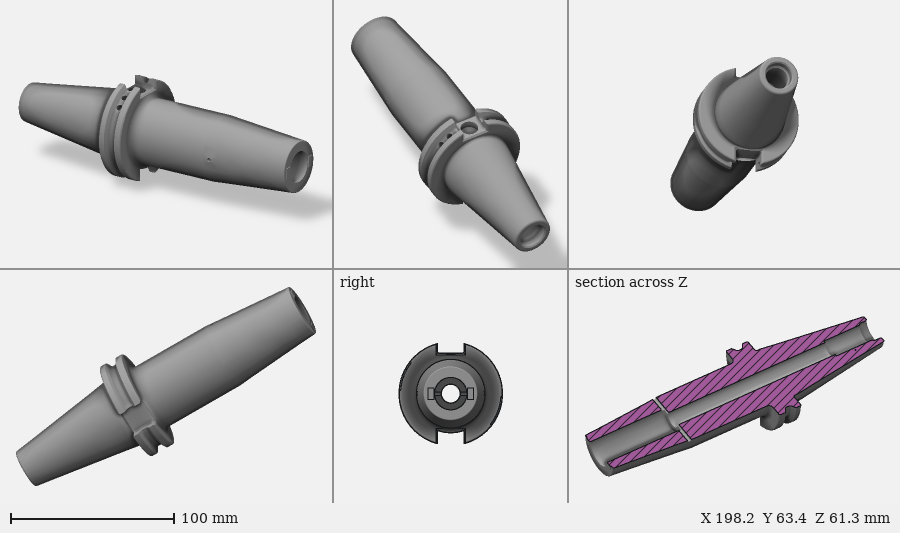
import cadquery as cq
import math


overall_length = 198.2
pad_height = 0.5
nose_face_x = overall_length - pad_height
gauge_x = 68.4
flange_start_x = 71.5
flange_end_x = 87.5
nose_start_x = 141.2

gauge_radius = 22.2
taper_rate = 7 / 48
taper_tip_radius = gauge_radius - gauge_x * taper_rate
flange_radius = 31.7
body_radius = 21.0
nose_radius = 16.5

tip_fillet = 1.4
nose_fillet = 0.5
flange_fillet = 1.0
neck_root_fillet = 0.5
body_root_fillet = 3.0

groove_center_x = 79.3
groove_floor_radius = 28.2
groove_floor_width = 3.4
groove_flank_angle = 30
groove_floor_fillet = 1.4

slot_width = 16.3
top_slot_height = 24.8
bottom_slot_height = 22.5
slot_corner_fillet = 1.2
slot_chamfer = 1.0

chip_diameter = 11.0
chip_depth = 4.5

groove_hole_diameter = 3.8
groove_hole_depth = 4.0
groove_hole_angles = (30, 45)

pilot_chamfer = 0.8
pilot_radius = 8.3
pilot_depth = 5.0
thread_radius = 7.1
thread_depth = 31.7
channel_radius = 5.7
tool_bore_radius = 10.0
tool_bore_depth = 53.0
vent_diameter = 2.4
vent_x = 145.3

pad_inner_y = 10.1
pad_radial_size = 4.0
pad_width = 7.0

cutter_overrun = 2.0


def revolved(points):
    """Solid of revolution about the X axis from (x, radius) points."""
    return cq.Workplane("XZ").polyline(points).close().revolve(360, (0, 0, 0), (1, 0, 0))


def make_shank():
    """Taper, neck, body and conical nose."""
    profile = (
        cq.Workplane("XZ")
        .moveTo(0, 0)
        .lineTo(0, taper_tip_radius)
        .lineTo(gauge_x, gauge_radius)
        .lineTo(flange_start_x - neck_root_fillet, gauge_radius)
        .radiusArc((flange_start_x, gauge_radius + neck_root_fillet), -neck_root_fillet)
        .lineTo(flange_end_x, body_radius + body_root_fillet)
        .radiusArc((flange_end_x + body_root_fillet, body_radius), -body_root_fillet)
        .lineTo(nose_start_x, body_radius)
        .lineTo(nose_face_x, nose_radius)
        .lineTo(nose_face_x, 0)
        .close()
    )
    shank = profile.revolve(360, (0, 0, 0), (1, 0, 0))
    shank = shank.faces("<X").edges().fillet(tip_fillet)
    return shank.faces(">X").edges().fillet(nose_fillet)


def make_flange():
    """Rounded disc with a V-groove around its rim."""
    flange = revolved([
        (flange_start_x, 0),
        (flange_start_x, flange_radius),
        (flange_end_x, flange_radius),
        (flange_end_x, 0),
    ])
    flange = flange.edges("%CIRCLE").fillet(flange_fillet)
    groove_depth = flange_radius - groove_floor_radius
    half_floor = groove_floor_width / 2
    half_mouth = half_floor + groove_depth * math.tan(math.radians(groove_flank_angle))
    cutter_radius = flange_radius + cutter_overrun
    groove = revolved([
        (groove_center_x - half_floor, groove_floor_radius),
        (groove_center_x + half_floor, groove_floor_radius),
        (groove_center_x + half_mouth, flange_radius),
        (groove_center_x + half_mouth, cutter_radius),
        (groove_center_x - half_mouth, cutter_radius),
        (groove_center_x - half_mouth, flange_radius),
    ])
    floor_edges = cq.selectors.RadiusNthSelector(0)
    return flange.cut(groove.edges(floor_edges).fillet(groove_floor_fillet))


def slot_cutter(floor_height):
    """Slot through the flange above floor_height, with rounded floor corners and chamfered ends."""
    top_height = flange_radius + cutter_overrun
    mid_height = (floor_height + top_height) / 2
    slot_depth = top_height - floor_height
    slot = (
        cq.Workplane("YZ", origin=(flange_start_x, 0, mid_height))
        .rect(slot_width, slot_depth)
        .extrude(flange_end_x - flange_start_x)
        .edges("|X and <Z")
        .fillet(slot_corner_fillet)
    )
    for face_x, inward in ((flange_start_x, slot_chamfer), (flange_end_x, -slot_chamfer)):
        flare = (
            cq.Workplane("YZ", origin=(face_x, 0, mid_height))
            .rect(slot_width + 2 * slot_chamfer, slot_depth + 2 * slot_chamfer)
            .extrude(inward, taper=45)
        )
        slot = slot.union(flare)
    return slot


def make_bore():
    """Through bore: pilot, thread bore, channel and tool bore."""
    tool_bore_x = nose_face_x - tool_bore_depth
    return revolved([
        (0, 0),
        (0, pilot_radius + pilot_chamfer),
        (pilot_chamfer, pilot_radius),
        (pilot_depth, pilot_radius),
        (pilot_depth + pilot_radius - thread_radius, thread_radius),
        (thread_depth, thread_radius),
        (thread_depth, channel_radius),
        (tool_bore_x, channel_radius),
        (tool_bore_x, tool_bore_radius),
        (nose_face_x, tool_bore_radius),
        (nose_face_x, 0),
    ])


def make_chip_pocket():
    """Blind round pocket in the floor of the top slot."""
    return (
        cq.Workplane("XY", origin=(groove_center_x, 0, top_slot_height))
        .circle(chip_diameter / 2)
        .extrude(-chip_depth)
    )


def groove_hole(angle):
    """Radial blind hole in the groove floor, at an angle in degrees from the top."""
    hole = (
        cq.Workplane("XY", origin=(groove_center_x, 0, groove_floor_radius - groove_hole_depth))
        .circle(groove_hole_diameter / 2)
        .extrude(groove_hole_depth + cutter_overrun)
    )
    return hole.rotate((0, 0, 0), (1, 0, 0), angle)


def make_vent():
    """Cross hole through both walls at the inner end of the tool bore."""
    return (
        cq.Workplane("XZ", origin=(vent_x, 0, 0))
        .circle(vent_diameter / 2)
        .extrude(body_radius + cutter_overrun, both=True)
    )


def nose_pad(side):
    """Raised pad on the nose face, on the +Y (side = 1) or -Y (side = -1) side of the bore."""
    center_y = side * (pad_inner_y + pad_radial_size / 2)
    return (
        cq.Workplane("YZ", origin=(nose_face_x, center_y, 0))
        .rect(pad_radial_size, pad_width)
        .extrude(pad_height)
    )


holder = make_shank().union(make_flange())
holder = holder.cut(slot_cutter(top_slot_height))
holder = holder.cut(slot_cutter(bottom_slot_height).rotate((0, 0, 0), (1, 0, 0), 180))
holder = holder.cut(make_chip_pocket())
for hole_angle in groove_hole_angles:
    holder = holder.cut(groove_hole(hole_angle))
    holder = holder.cut(groove_hole(-hole_angle))
holder = holder.cut(make_bore())
holder = holder.cut(make_vent())
for pad_side in (1, -1):
    holder = holder.union(nose_pad(pad_side))

result = holder